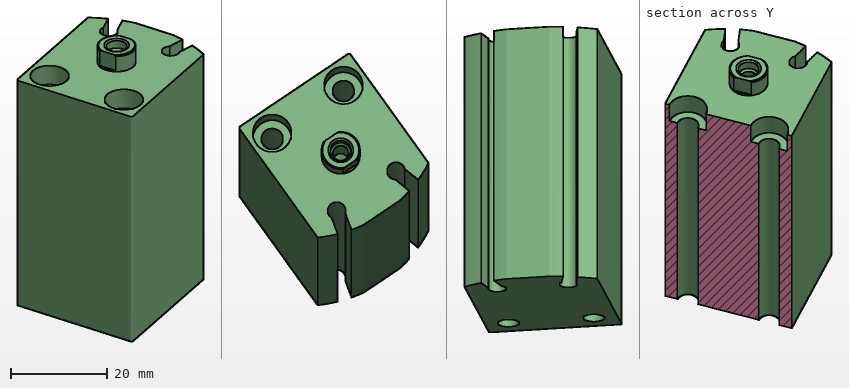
import cadquery as cq
import math

WIDTH = 28.0
DEPTH = 32.0
TOTAL_HEIGHT = 59.0
ROD_PROJECTION = 4.0
HOUSING_HEIGHT = TOTAL_HEIGHT - ROD_PROJECTION
FRONT_EDGE_RADIUS = 0.5

CROWN_RADIUS = 29.2
CROWN_CENTRE_Y = 3.1

MOUNT_SPACING = 18.0
MOUNT_Y = 5.0
MOUNT_DIAMETER = 4.5
COUNTERBORE_DIAMETER = 8.0
COUNTERBORE_DEPTH = 4.6

SLOT_SPACING = 15.0
SLOT_Y = 26.3
SLOT_DIAMETER = 3.7
SLOT_MOUTH_WIDTH = 3.0
SLOT_LEAN = 15.0

ROD_Y = 17.0
ROD_DIAMETER = 8.0
ROD_BURIED_LENGTH = 11.8
ROD_LENGTH = ROD_BURIED_LENGTH + ROD_PROJECTION
ROD_CHAMFER = 0.25
ACROSS_FLATS = 7.0
COLLAR_HEIGHT = 0.25

HOLE_MOUTH_DIAMETER = 5.2
HOLE_UPPER_DIAMETER = 4.3
HOLE_UPPER_DEPTH = 2.05
HOLE_TAPER_LENGTH = 0.4
COUNTERSINK_ANGLE = 120.0
HOLE_LOWER_DIAMETER = 3.25
HOLE_LOWER_DEPTH = 8.85
DRILL_POINT_ANGLE = 118.0


def cylinder(diameter, height, x, y, z):
    return cq.Workplane("XY", origin=(x, y, z)).circle(diameter / 2).extrude(height)


def sensor_slot(side):
    """Full-height keyhole cutter on the side given by -1 or +1."""
    x = side * SLOT_SPACING / 2
    channel = cylinder(SLOT_DIAMETER, HOUSING_HEIGHT, x, SLOT_Y, 0)
    mouth = (
        cq.Workplane("XY")
        .rect(SLOT_MOUTH_WIDTH, DEPTH / 2)
        .extrude(HOUSING_HEIGHT)
        .translate((0, DEPTH / 4, 0))
        .rotate((0, 0, 0), (0, 0, 1), -side * SLOT_LEAN)
        .translate((x, SLOT_Y, 0))
    )
    return channel.union(mouth)


def mounting_hole(side):
    """Through hole with a counterbore in the top face."""
    x = side * MOUNT_SPACING / 2
    shank = cylinder(MOUNT_DIAMETER, HOUSING_HEIGHT, x, MOUNT_Y, 0)
    head_seat_z = HOUSING_HEIGHT - COUNTERBORE_DEPTH
    head = cylinder(COUNTERBORE_DIAMETER, COUNTERBORE_DEPTH, x, MOUNT_Y, head_seat_z)
    return shank.union(head)


def make_housing():
    block = (
        cq.Workplane("XY")
        .box(WIDTH, DEPTH, HOUSING_HEIGHT, centered=(True, False, False))
        .edges("|Z and <Y")
        .fillet(FRONT_EDGE_RADIUS)
    )
    crown = cylinder(2 * CROWN_RADIUS, HOUSING_HEIGHT, 0, CROWN_CENTRE_Y, 0)
    housing = block.intersect(crown)
    for side in (-1, 1):
        housing = housing.cut(sensor_slot(side)).cut(mounting_hole(side))
    rod_bore_z = HOUSING_HEIGHT - ROD_BURIED_LENGTH
    rod_bore = cylinder(ROD_DIAMETER, ROD_BURIED_LENGTH, 0, ROD_Y, rod_bore_z)
    return housing.cut(rod_bore)


def rod_hole():
    """Revolved cutter: countersunk mouth, upper bore, taper, lower bore and drill point."""
    mouth_radius = HOLE_MOUTH_DIAMETER / 2
    upper_radius = HOLE_UPPER_DIAMETER / 2
    lower_radius = HOLE_LOWER_DIAMETER / 2
    countersink_depth = (mouth_radius - upper_radius) / math.tan(math.radians(COUNTERSINK_ANGLE / 2))
    point_depth = lower_radius / math.tan(math.radians(DRILL_POINT_ANGLE / 2))
    return (
        cq.Workplane("XZ")
        .polyline([
            (0, 0),
            (mouth_radius, 0),
            (upper_radius, -countersink_depth),
            (upper_radius, -HOLE_UPPER_DEPTH),
            (lower_radius, -HOLE_UPPER_DEPTH - HOLE_TAPER_LENGTH),
            (lower_radius, -HOLE_LOWER_DEPTH),
            (0, -HOLE_LOWER_DEPTH - point_depth),
        ])
        .close()
        .revolve(360, (0, 0, 0), (0, 1, 0))
        .translate((0, ROD_Y, TOTAL_HEIGHT))
    )


def make_rod():
    rod = cylinder(ROD_DIAMETER, ROD_LENGTH, 0, ROD_Y, TOTAL_HEIGHT - ROD_LENGTH)
    rod = rod.faces(">Z").edges().chamfer(ROD_CHAMFER)
    flats_z = HOUSING_HEIGHT + COLLAR_HEIGHT
    for side in (-1, 1):
        flat_y = ROD_Y + side * (ACROSS_FLATS + ROD_DIAMETER) / 2
        flat = (
            cq.Workplane("XY", origin=(0, flat_y, flats_z))
            .rect(ROD_DIAMETER, ROD_DIAMETER)
            .extrude(ROD_PROJECTION)
        )
        rod = rod.cut(flat)
    return rod.cut(rod_hole())


housing = make_housing()
rod = make_rod()
result = cq.Compound.makeCompound([housing.val(), rod.val()])